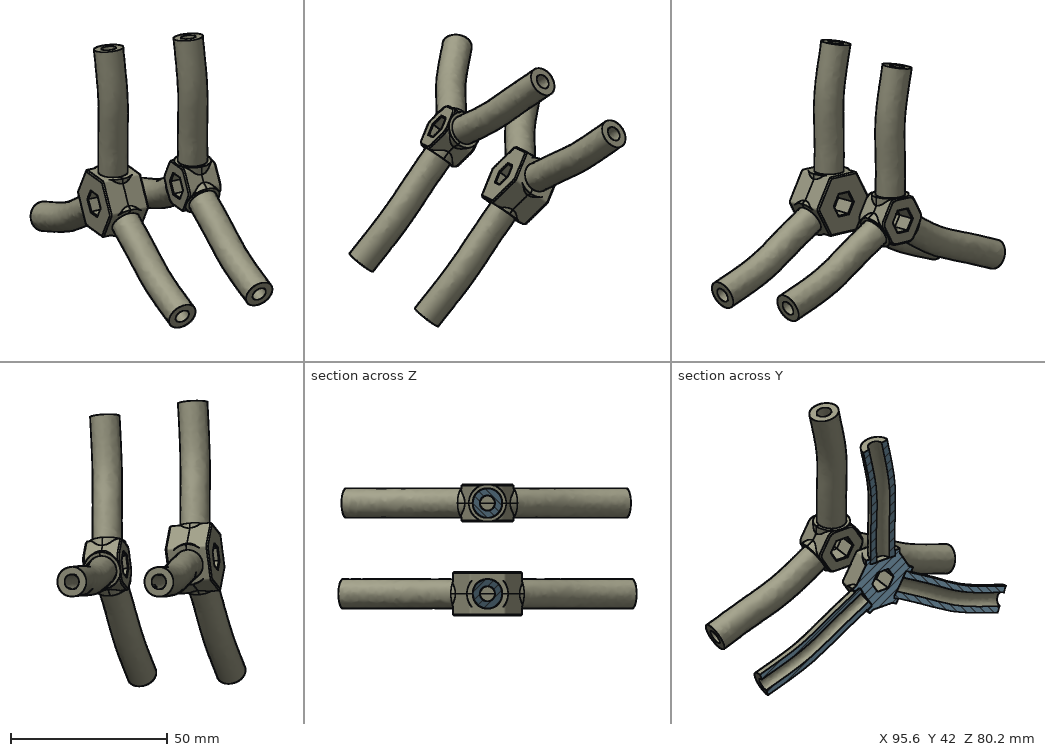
import cadquery as cq
import math


TUBE_DIAMETER = 9.6
BORE_DIAMETER = 4.8
TUBE_LENGTH = 43.9
KNEE_HEIGHT = 26.75
TIP_OFFSET = 3.0
BEND_ANGLE = 10.3

FRONT_APOTHEM = 9.7
FRONT_THICKNESS = 14.0
FRONT_CORNER_RADIUS = 1.0
FRONT_COLLAR_RADIUS = 6.6

REAR_APOTHEM = 7.6
REAR_THICKNESS = 11.9
REAR_CORNER_RADIUS = 2.9
REAR_COLLAR_RADIUS = REAR_THICKNESS / 2

EDGE_CHAMFER = 0.5
HEX_HOLE_FLATS = 7.1
HEX_HOLE_CHAMFER = 0.3
MOUTH_TAPER = 45
SOCKET_DEPTH = 2.0

OVERALL_DEPTH = 42.0
HUB_SPACING = OVERALL_DEPTH - (FRONT_THICKNESS + REAR_THICKNESS) / 2
UP_ARM = 0
LEFT_ARM = -120
RIGHT_ARM = 120
ARM_ANGLES = (UP_ARM, LEFT_ARM, RIGHT_ARM)


def turn_about_y(solid, angle):
    return solid.rotate((0, 0, 0), (0, 1, 0), angle)


def hex_prism(apothem, thickness):
    """Hexagonal prism along Y, centred on the origin, with flats at top and bottom."""
    corner_diameter = 2 * apothem / math.cos(math.radians(30))
    return cq.Workplane("XZ").polygon(6, corner_diameter).extrude(thickness / 2, both=True)


def make_collar(radius, apothem, angle):
    """Round collar along an arm, from the hub centre out to the flat of the hexagon."""
    return turn_about_y(cq.Workplane("XY").circle(radius).extrude(apothem), angle)


def make_hex_hole(thickness):
    """Hexagonal hole right through a hub, widened by a chamfer at both mouths."""
    hole = hex_prism(HEX_HOLE_FLATS / 2, thickness)
    corner_diameter = (HEX_HOLE_FLATS + 2 * HEX_HOLE_CHAMFER) / math.cos(math.radians(30))
    for side in (-1, 1):
        mouth = (
            cq.Workplane("XZ", origin=(0, side * thickness / 2, 0))
            .polygon(6, corner_diameter)
            .extrude(side * HEX_HOLE_CHAMFER, taper=MOUTH_TAPER)
        )
        hole = hole.union(mouth)
    return hole


def make_hub(apothem, thickness, corner_radius, collar_radius, rods):
    """Whole hub: rounded hexagon, a collar on each arm, a socket for each rod, a hexagonal through hole."""
    hub = hex_prism(apothem, thickness)
    hub = hub.edges("|Y").fillet(corner_radius)
    hub = hub.faces("<Y or >Y").edges().chamfer(EDGE_CHAMFER)
    for angle in ARM_ANGLES:
        hub = hub.union(make_collar(collar_radius, apothem, angle))
    for rod in rods:
        hub = hub.cut(rod)
    return hub.cut(make_hex_hole(thickness))


def make_hub_half(hub, apothem, thickness, side):
    """Half of a hub on one side of its mid-plane: side is -1 for the -Y half, +1 for the +Y half."""
    width = 4 * apothem
    half_space = cq.Workplane("XY").box(width, thickness, width).translate((0, side * thickness / 2, 0))
    return hub.intersect(half_space)


def make_rod(diameter):
    """Solid rod rising from the origin along +Z, nearly straight at first, then bending toward -X."""
    bend = math.radians(BEND_ANGLE)
    centreline = cq.Workplane("XZ").spline(
        [(0, 0), (0, KNEE_HEIGHT / 2), (0, KNEE_HEIGHT), (-TIP_OFFSET, TUBE_LENGTH)],
        tangents=[(0, 1), (-math.sin(bend), math.cos(bend))],
    )
    return cq.Workplane("XY").circle(diameter / 2).sweep(centreline)


def roll(body):
    """Rod or tube turned half round its own axis, so that it bends toward +X."""
    return body.rotate((0, 0, 0), (0, 0, 1), 180)


def reverse(body):
    """Rod or tube turned end for end, so that its bent end stands at the origin."""
    return turn_about_y(body.translate((TIP_OFFSET, 0, -TUBE_LENGTH)), 180 + BEND_ANGLE)


def mount(body, apothem, angle):
    """Rod or tube seated on the floor of the socket of one arm."""
    return turn_about_y(body.translate((0, 0, apothem - SOCKET_DEPTH)), angle)


def make_front_arms(body):
    """Copies of a rod or tube on the front hub, the left one rolled over to mirror the right one."""
    layout = ((UP_ARM, body), (RIGHT_ARM, body), (LEFT_ARM, roll(body)))
    return [mount(arm, FRONT_APOTHEM, angle) for angle, arm in layout]


def make_rear_arms(body):
    """Copies of a rod or tube on the rear hub, the left one turned end for end."""
    layout = ((UP_ARM, body), (RIGHT_ARM, body), (LEFT_ARM, reverse(body)))
    return [mount(arm, REAR_APOTHEM, angle) for angle, arm in layout]


rod = make_rod(TUBE_DIAMETER)
tube = rod.cut(make_rod(BORE_DIAMETER))

front_hub = make_hub(
    FRONT_APOTHEM, FRONT_THICKNESS, FRONT_CORNER_RADIUS, FRONT_COLLAR_RADIUS, make_front_arms(rod)
)
front_halves = [make_hub_half(front_hub, FRONT_APOTHEM, FRONT_THICKNESS, side) for side in (-1, 1)]
front_joint = front_halves + make_front_arms(tube)

rear_hub = make_hub(
    REAR_APOTHEM, REAR_THICKNESS, REAR_CORNER_RADIUS, REAR_COLLAR_RADIUS, make_rear_arms(rod)
)
rear_halves = [make_hub_half(rear_hub, REAR_APOTHEM, REAR_THICKNESS, side) for side in (-1, 1)]
rear_joint = [body.translate((0, HUB_SPACING, 0)) for body in rear_halves + make_rear_arms(tube)]

bodies = [body.solids().val() for body in front_joint + rear_joint]
result = cq.Compound.makeCompound(bodies)